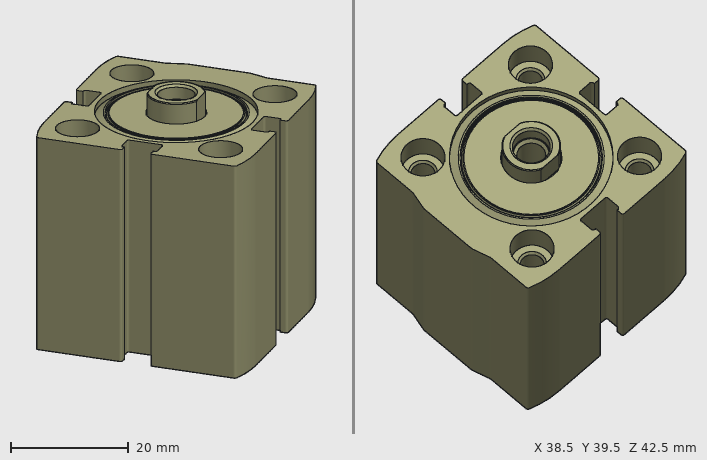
import cadquery as cq
import math

total_height = 42.5
rod_protrusion = 3.5
body_height = total_height - rod_protrusion
body_width = 38.5
half_width = body_width / 2
side_flat_half = 12.7
side_arc_radius = 18.5
corner_fillet = 0.5

pad_height = 0.98
pad_top_half = 5.7
pad_base_half = 9.25
pad_fillet = 1.7

slot_mouth_half = 2.6
slot_inner_half = 3.25
slot_depth = 4.5
slot_lip = 1.35
slot_inner_fillet = 0.4
slot_mouth_fillet = 0.42

mount_pitch = 26.0
mount_counterbore_dia = 7.5
mount_counterbore_depth = 4.95
mount_chamfer_dia = 4.95
mount_hole_dia = 4.12

cap_recess_dia = 27.8
cap_recess_depth = 1.0
cap_face_depth = 0.2
ring_outer_dia = 24.8
ring_inner_dia = 24.2
groove_floor_dia = 23.8
groove_depth = 0.6
cap_shoulder_dia = 23.3
cap_shoulder_depth = 0.3
cap_face_dia = 22.85

rod_dia = 10.0
rod_length = 25.5
rod_chamfer = 0.15
rod_flats_width = 9.0
rod_clearance_dia = 10.35
rod_clearance_depth = 1.28

rod_mouth_dia = 7.22
rod_bore_dia = 6.4
rod_step_dia = 6.05
rod_thread_dia = 4.95
rod_bore_depth = 2.6
rod_thread_depth = 11.9
mouth_half_angle = 45.0
step_half_angle = 45.0
drill_tip_half_angle = 59.0


def cone_height(large_dia, small_dia, half_angle):
    """Axial length of a cone between two diameters."""
    return (large_dia - small_dia) / 2 / math.tan(math.radians(half_angle))


def revolved(profile):
    """Solid of revolution about Z from (radius, z) points."""
    return cq.Workplane("XZ").polyline(profile).close().revolve(360, (0, 0), (0, 1))


def side_x(y):
    """Distance from the centre plane to the curved part of a side at a given Y."""
    run = abs(y) - side_flat_half
    return half_width - side_arc_radius + math.sqrt(side_arc_radius**2 - run**2)


def fillet_upright_edges(solid, points, radius):
    """Round the vertical edges that stand at the given XY points."""
    reach = 0.05
    for x, y in points:
        box = cq.selectors.BoxSelector(
            (x - reach, y - reach, -reach), (x + reach, y + reach, body_height + reach), boundingbox=True
        )
        solid = solid.edges(box).fillet(radius)
    return solid


def make_block():
    """Extruded profile with bowed corners and the raised pad."""
    corner_x = side_x(half_width)
    bow_y = (side_flat_half + half_width) / 2
    bow_x = side_x(bow_y)
    pad_y = half_width + pad_height
    block = (
        cq.Workplane("XY")
        .moveTo(-corner_x, -half_width)
        .lineTo(corner_x, -half_width)
        .threePointArc((bow_x, -bow_y), (half_width, -side_flat_half))
        .lineTo(half_width, side_flat_half)
        .threePointArc((bow_x, bow_y), (corner_x, half_width))
        .lineTo(pad_base_half, half_width)
        .lineTo(pad_top_half, pad_y)
        .lineTo(-pad_top_half, pad_y)
        .lineTo(-pad_base_half, half_width)
        .lineTo(-corner_x, half_width)
        .threePointArc((-bow_x, bow_y), (-half_width, side_flat_half))
        .lineTo(-half_width, -side_flat_half)
        .threePointArc((-bow_x, -bow_y), (-corner_x, -half_width))
        .close()
        .extrude(body_height)
    )
    corners = [(sx * corner_x, sy * half_width) for sx in (-1, 1) for sy in (-1, 1)]
    block = fillet_upright_edges(block, corners, corner_fillet)
    pad_edges = [(s * pad_base_half, half_width) for s in (-1, 1)]
    pad_edges += [(s * pad_top_half, pad_y) for s in (-1, 1)]
    return fillet_upright_edges(block, pad_edges, pad_fillet)


def make_t_slot():
    """Cutter for the T-slot in the -Y side, with rounded pocket and mouth edges."""
    pocket_length = slot_depth - slot_lip
    pocket = (
        cq.Workplane("XY")
        .rect(2 * slot_inner_half, pocket_length)
        .extrude(body_height)
        .edges("|Z")
        .fillet(slot_inner_fillet)
        .translate((0, -half_width + slot_lip + pocket_length / 2, 0))
    )
    flare = slot_mouth_half + slot_mouth_fillet
    arc_offset = slot_mouth_fillet * (1 - math.cos(math.radians(45)))
    arc_mid_x = slot_mouth_half + arc_offset
    arc_mid_y = -half_width + arc_offset
    round_end_y = -half_width + slot_mouth_fillet
    neck_end_y = -half_width + slot_lip + slot_inner_fillet
    mouth = (
        cq.Workplane("XY")
        .moveTo(-flare, -half_width)
        .lineTo(flare, -half_width)
        .threePointArc((arc_mid_x, arc_mid_y), (slot_mouth_half, round_end_y))
        .lineTo(slot_mouth_half, neck_end_y)
        .lineTo(-slot_mouth_half, neck_end_y)
        .lineTo(-slot_mouth_half, round_end_y)
        .threePointArc((-arc_mid_x, arc_mid_y), (-flare, -half_width))
        .close()
        .extrude(body_height)
    )
    return pocket.union(mouth)


def make_mount_hole():
    """Cutter for one mounting hole: counterbore, countersink and through hole."""
    floor_z = body_height - mount_counterbore_depth
    sink_z = floor_z - (mount_chamfer_dia - mount_hole_dia) / 2
    return revolved([
        (0, 0),
        (mount_hole_dia / 2, 0),
        (mount_hole_dia / 2, sink_z),
        (mount_chamfer_dia / 2, floor_z),
        (mount_counterbore_dia / 2, floor_z),
        (mount_counterbore_dia / 2, body_height),
        (0, body_height),
    ])


def make_cap_cut():
    """Cutter for everything above the sloped rim, the ring, its groove and the cap face."""
    face_z = body_height - cap_face_depth
    shoulder_z = body_height - cap_shoulder_depth
    groove_z = body_height - groove_depth
    return revolved([
        (0, face_z),
        (cap_face_dia / 2, face_z),
        (cap_face_dia / 2, shoulder_z),
        (cap_shoulder_dia / 2, shoulder_z),
        (groove_floor_dia / 2, groove_z),
        (ring_inner_dia / 2, groove_z),
        (ring_inner_dia / 2, face_z),
        (ring_outer_dia / 2, face_z),
        (cap_recess_dia / 2, body_height - cap_recess_depth),
        (cap_recess_dia / 2, body_height),
        (0, body_height),
    ])


def make_rod_seat():
    """Cutter for the bore that holds the rod, with a clearance at its mouth."""
    bore = (
        cq.Workplane("XY")
        .workplane(offset=total_height - rod_length)
        .circle(rod_dia / 2)
        .extrude(rod_length)
    )
    clearance = (
        cq.Workplane("XY")
        .workplane(offset=body_height - rod_clearance_depth)
        .circle(rod_clearance_dia / 2)
        .extrude(rod_clearance_depth)
    )
    return bore.union(clearance)


def make_housing():
    """Block with its T-slots, mounting holes, end cap relief and rod seat."""
    housing = make_block()
    for angle in (-90, 0, 90):
        housing = housing.cut(make_t_slot().rotate((0, 0, 0), (0, 0, 1), angle))
    for x in (-mount_pitch / 2, mount_pitch / 2):
        for y in (-mount_pitch / 2, mount_pitch / 2):
            housing = housing.cut(make_mount_hole().translate((x, y, 0)))
    return housing.cut(make_cap_cut()).cut(make_rod_seat())


def make_rod_bore():
    """Cutter for the stepped blind bore in the rod tip."""
    mouth_z = total_height - cone_height(rod_mouth_dia, rod_bore_dia, mouth_half_angle)
    wall_end_z = total_height - rod_bore_depth
    step_z = wall_end_z - cone_height(rod_step_dia, rod_thread_dia, step_half_angle)
    thread_end_z = total_height - rod_thread_depth
    tip_z = thread_end_z - cone_height(rod_thread_dia, 0, drill_tip_half_angle)
    return revolved([
        (0, tip_z),
        (rod_thread_dia / 2, thread_end_z),
        (rod_thread_dia / 2, step_z),
        (rod_step_dia / 2, wall_end_z),
        (rod_bore_dia / 2, wall_end_z),
        (rod_bore_dia / 2, mouth_z),
        (rod_mouth_dia / 2, total_height),
        (0, total_height),
    ])


def make_piston_rod():
    """Round rod with wrench flats and a stepped bore in its tip."""
    rod = (
        cq.Workplane("XY")
        .workplane(offset=total_height - rod_length)
        .circle(rod_dia / 2)
        .extrude(rod_length)
        .faces(">Z")
        .chamfer(rod_chamfer)
    )
    flats_length = rod_protrusion + rod_clearance_depth
    flat_keep = (
        cq.Workplane("XY")
        .workplane(offset=total_height - flats_length)
        .rect(rod_flats_width, 2 * rod_dia)
        .extrude(flats_length)
    )
    shank = cq.Workplane("XY").circle(rod_dia).extrude(total_height - flats_length)
    return rod.intersect(flat_keep.union(shank)).cut(make_rod_bore())


housing = make_housing()
piston_rod = make_piston_rod()

result = cq.Compound.makeCompound([housing.val(), piston_rod.val()])